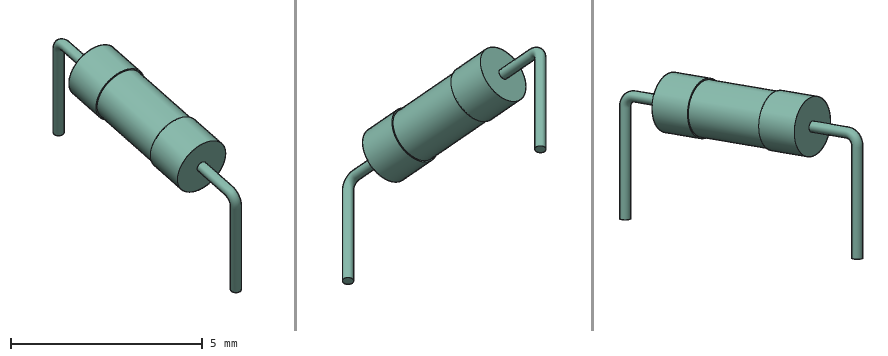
import cadquery as cq

overall_length = 7.8
overall_height = 4.12
cap_diameter = 1.6
barrel_diameter = 1.52
body_length = 4.6
lead_diameter = 0.3
bend_radius = 0.31

cap_length = body_length / 4
barrel_length = body_length - 2 * cap_length
body_end_x = body_length / 2
lead_x = (overall_length - lead_diameter) / 2
lead_tip_z = cap_diameter / 2 - overall_height


def make_body():
    """Resistor body: a barrel with a slightly wider cap at each end."""
    return (
        cq.Workplane("YZ", origin=(-body_end_x, 0, 0))
        .circle(cap_diameter / 2)
        .extrude(cap_length)
        .faces(">X").workplane()
        .circle(barrel_diameter / 2)
        .extrude(barrel_length)
        .faces(">X").workplane()
        .circle(cap_diameter / 2)
        .extrude(cap_length)
    )


def make_lead(side):
    """Round wire lead, butted on the body end and bent down; side is -1 or +1 along X."""
    bend_start_x = lead_x - bend_radius
    path = (
        cq.Workplane("XZ")
        .moveTo(side * body_end_x, 0)
        .lineTo(side * bend_start_x, 0)
        .tangentArcPoint((side * lead_x, -bend_radius), relative=False)
        .lineTo(side * lead_x, lead_tip_z)
    )
    return (
        cq.Workplane("YZ", origin=(side * body_end_x, 0, 0))
        .circle(lead_diameter / 2)
        .sweep(path)
    )


body = make_body()
leads = [make_lead(side) for side in (-1, 1)]

result = cq.Compound.makeCompound([body.val(), *[lead.val() for lead in leads]])